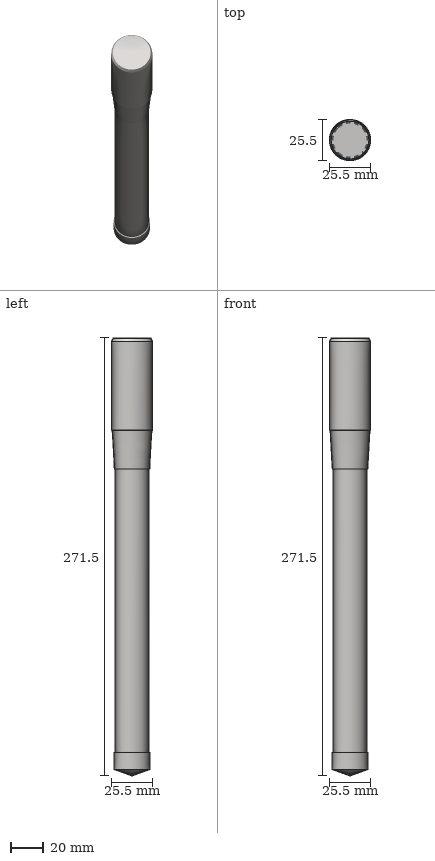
import cadquery as cq

TOTAL_LENGTH = 271.5
POINT_HEIGHT = 4.0
TIP_LENGTH = 14.5
TAPER_BOTTOM = 190.5
GRIP_BOTTOM = 214.3

GRIP_DIAMETER = 25.5
TAPER_TOP_DIAMETER = 24.7
TAPER_BOTTOM_DIAMETER = 22.0
SHAFT_DIAMETER = 21.2
TIP_DIAMETER = 22.5

TOP_CHAMFER_HEIGHT = 2.0
TOP_CHAMFER_WIDTH = 1.0
LOWER_CHAMFER = (GRIP_DIAMETER - TAPER_TOP_DIAMETER) / 2


def revolve_about_z(outline):
    """Turn a closed outline of (radius, height) points into a round solid."""
    return cq.Workplane("XZ").polyline(outline).close().revolve(360, (0, 0), (0, 1))


def make_holder():
    """Shaft, tapered neck and chamfered grip, turned as one piece."""
    grip_radius = GRIP_DIAMETER / 2
    shaft_radius = SHAFT_DIAMETER / 2
    return revolve_about_z([
        (0, TIP_LENGTH),
        (shaft_radius, TIP_LENGTH),
        (shaft_radius, TAPER_BOTTOM),
        (TAPER_BOTTOM_DIAMETER / 2, TAPER_BOTTOM),
        (TAPER_TOP_DIAMETER / 2, GRIP_BOTTOM),
        (grip_radius, GRIP_BOTTOM + LOWER_CHAMFER),
        (grip_radius, TOTAL_LENGTH - TOP_CHAMFER_HEIGHT),
        (grip_radius - TOP_CHAMFER_WIDTH, TOTAL_LENGTH),
        (0, TOTAL_LENGTH),
    ])


def make_tip():
    """Short cylinder with a shallow conical point, seated on the shaft end."""
    tip_radius = TIP_DIAMETER / 2
    return revolve_about_z([
        (0, 0),
        (tip_radius, POINT_HEIGHT),
        (tip_radius, TIP_LENGTH),
        (0, TIP_LENGTH),
    ])


holder = make_holder()
tip = make_tip()

result = cq.Compound.makeCompound([holder.val(), tip.val()])